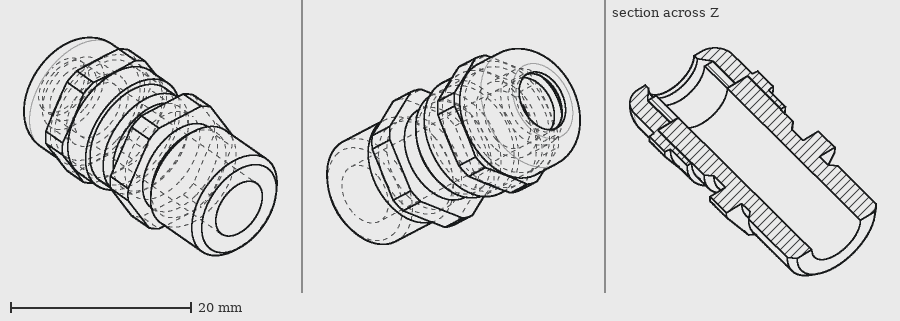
import cadquery as cq
import math


total_length = 30.0
bore_radius = 3.42

hex_across_flats = 14.0
hex_across_corners = 15.3
hex_width = 3.0

nut_length = 12.0
nut_radius = 6.93
dome_radius = 2.5
nut_hex_start = 6.0
nut_hex_taper = 0.1
lip_thickness = 0.6

seal_radius = 4.53
seal_start = 1.9

thread_radius = 6.27
neck_radius = 5.5
thread_chamfer = thread_radius - neck_radius
body_start = nut_hex_start
front_thread_end = 15.0
body_hex_start = 17.0
rear_thread_start = 21.45


def cylinder(start, end, radius):
    """Solid cylinder on the X axis between two X positions."""
    return cq.Workplane("YZ", origin=(start, 0, 0)).circle(radius).extrude(end - start)


def hexagon_prism(start):
    """Hexagon with flats at +Z and -Z, and its corners turned down to a round."""
    across_sharp_corners = hex_across_flats / math.cos(math.pi / 6)
    prism = cq.Workplane("YZ", origin=(start, 0, 0)).polygon(6, across_sharp_corners).extrude(hex_width)
    return prism.intersect(cylinder(start, start + hex_width, hex_across_corners / 2))


def revolve_profile(profile):
    """Turn a profile drawn as (X, radius) about the X axis."""
    return profile.close().revolve(360, (0, 0, 0), (1, 0, 0))


def make_nut_hexagon():
    """Hexagon whose two end faces slope back from the nut's round wall towards the corners."""
    hex_end = nut_hex_start + hex_width
    corner_radius = hex_across_corners / 2
    envelope = revolve_profile(
        cq.Workplane("XY")
        .moveTo(nut_hex_start, 0)
        .lineTo(nut_hex_start, nut_radius)
        .lineTo(nut_hex_start + nut_hex_taper, corner_radius)
        .lineTo(hex_end - nut_hex_taper, corner_radius)
        .lineTo(hex_end, nut_radius)
        .lineTo(hex_end, 0)
    )
    return hexagon_prism(nut_hex_start).intersect(envelope)


def make_seal_pocket():
    """Hollow for the seal: a cone opening out from the lip, then a straight bore."""
    return revolve_profile(
        cq.Workplane("XY")
        .moveTo(lip_thickness, 0)
        .lineTo(lip_thickness, bore_radius)
        .lineTo(seal_start, seal_radius)
        .lineTo(body_start, seal_radius)
        .lineTo(body_start, 0)
    )


def make_cap_nut():
    """Domed shell with a hexagon, bored for the lip, the seal and the body's front thread."""
    shell = cylinder(0, nut_length, nut_radius).faces("<X").edges().fillet(dome_radius)
    lip_bore = cylinder(0, lip_thickness, bore_radius)
    thread_socket = cylinder(body_start, nut_length, thread_radius)
    return shell.union(make_nut_hexagon()).cut(lip_bore).cut(make_seal_pocket()).cut(thread_socket)


def make_seal():
    """Plain sleeve behind the nut's cone, ending against the body."""
    sleeve = cylinder(seal_start, body_start, seal_radius)
    return sleeve.cut(cylinder(seal_start, body_start, bore_radius))


def make_body():
    """Two plain thread cylinders joined by a thinner neck that carries the hexagon."""
    front_thread = cylinder(body_start, front_thread_end, thread_radius)
    front_thread = front_thread.faces(">X").chamfer(thread_chamfer)
    rear_thread = cylinder(rear_thread_start, total_length, thread_radius)
    rear_thread = rear_thread.faces("<X or >X").chamfer(thread_chamfer)
    neck = cylinder(front_thread_end, rear_thread_start, neck_radius)
    body = front_thread.union(neck).union(rear_thread).union(hexagon_prism(body_hex_start))
    return body.cut(cylinder(body_start, total_length, bore_radius))


cap_nut = make_cap_nut()
seal = make_seal()
body = make_body()

result = cq.Compound.makeCompound([cap_nut.val(), seal.val(), body.val()])